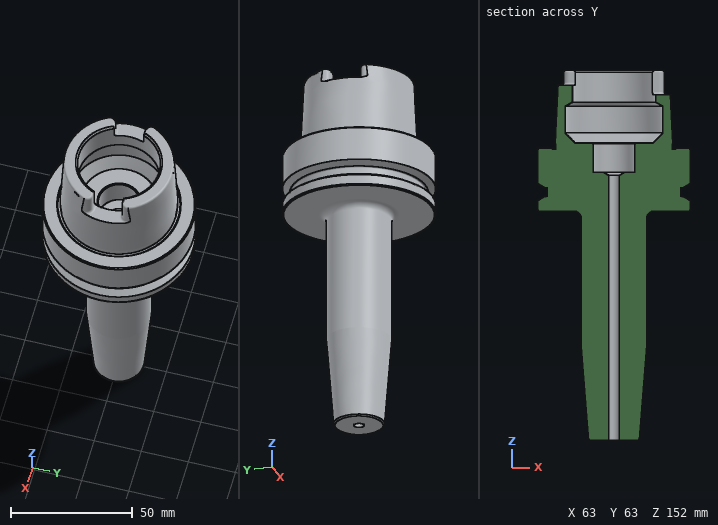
import cadquery as cq
import math


taper_height = 32.0
taper_ratio = 0.1
gauge_diameter = 48.01
gauge_height = 6.3
rim_fillet = 1.0
relief_diameter = 48.04
relief_height = 1.0
taper_foot_height = 2.2

recess_diameter = 51.0
recess_depth = 0.4

flange_diameter = 63.0
flange_thickness = 26.0
flange_chamfer = 0.5
groove_diameter = 55.0
groove_top = -14.6
groove_bottom = -21.5
groove_flank_angle = 30.0
groove_flank_width = 3.0
groove_root_fillet = 0.4

neck_diameter = 27.0
neck_fillet = 3.0
nose_diameter = 21.0
nose_half_angle = 4.5
nose_chamfer = 0.6
nose_end = -120.0

bore_diameter = 34.0
bore_mouth_chamfer = 0.8
bore_land_end = 18.8
cavity_diameter = 40.0
cavity_shoulder_angle = 30.0
floor_diameter = 31.8
bore_floor = 2.1
thread_diameter = 17.0
thread_chamfer = 0.4
thread_depth = 12.0
countersink_diameter = 8.4
countersink_angle = 118.0
through_diameter = 4.2

slot_width = 12.54
slot_corner_radius = 2.5
slot_floor_fillet = 1.2
shallow_slot_depth = 6.2
deep_slot_depth = 10.1

ARC_MIDDLE_INSET = 1 - math.sqrt(0.5)
LENGTH_TOLERANCE = 0.001


def taper_radius(height):
    """Radius of the taper at a height above the flange face."""
    return (gauge_diameter - taper_ratio * (height - gauge_height)) / 2


def revolve_profile(outline):
    """Turn a closed outline in the XZ plane around the Z axis."""
    return outline.close().revolve(360, (0, 0, 0), (0, 1, 0))


def outer_body():
    """Nose, neck, flange and taper as one turned solid, before boring and slotting."""
    flange_radius = flange_diameter / 2
    groove_radius = groove_diameter / 2
    recess_radius = recess_diameter / 2
    relief_radius = relief_diameter / 2
    neck_radius = neck_diameter / 2
    nose_radius = nose_diameter / 2
    flank_radius = flange_radius - groove_flank_width
    flank_height = groove_flank_width * math.tan(math.radians(groove_flank_angle))
    root_bottom = groove_bottom + flank_height
    root_top = groove_top - flank_height
    root_offset = groove_root_fillet * ARC_MIDDLE_INSET
    nose_slope = math.tan(math.radians(nose_half_angle))
    nose_start = nose_end + (neck_radius - nose_radius) / nose_slope
    chamfer_radius = nose_radius + nose_chamfer * nose_slope
    fillet_offset = neck_fillet * ARC_MIDDLE_INSET
    outline = (
        cq.Workplane("XZ")
        .moveTo(0, nose_end)
        .lineTo(nose_radius - nose_chamfer, nose_end)
        .lineTo(chamfer_radius, nose_end + nose_chamfer)
        .lineTo(neck_radius, nose_start)
        .lineTo(neck_radius, -flange_thickness - neck_fillet)
        .threePointArc(
            (neck_radius + fillet_offset, -flange_thickness - fillet_offset),
            (neck_radius + neck_fillet, -flange_thickness),
        )
        .lineTo(flange_radius - flange_chamfer, -flange_thickness)
        .lineTo(flange_radius, -flange_thickness + flange_chamfer)
        .lineTo(flange_radius, groove_bottom)
        .lineTo(flank_radius, root_bottom)
        .lineTo(groove_radius + groove_root_fillet, root_bottom)
        .threePointArc(
            (groove_radius + root_offset, root_bottom + root_offset),
            (groove_radius, root_bottom + groove_root_fillet),
        )
        .lineTo(groove_radius, root_top - groove_root_fillet)
        .threePointArc(
            (groove_radius + root_offset, root_top - root_offset),
            (groove_radius + groove_root_fillet, root_top),
        )
        .lineTo(flank_radius, root_top)
        .lineTo(flange_radius, groove_top)
        .lineTo(flange_radius, -flange_chamfer)
        .lineTo(flange_radius - flange_chamfer, 0)
        .lineTo(recess_radius, 0)
        .lineTo(recess_radius - recess_depth, -recess_depth)
        .lineTo(relief_radius, -recess_depth)
        .lineTo(relief_radius, relief_height)
        .lineTo(taper_radius(taper_foot_height), taper_foot_height)
        .lineTo(taper_radius(taper_height), taper_height)
        .lineTo(0, taper_height)
    )
    return revolve_profile(outline)


def bore():
    """Cutter for the stepped bore, open at both ends of the part."""
    bore_radius = bore_diameter / 2
    cavity_radius = cavity_diameter / 2
    floor_radius = floor_diameter / 2
    shoulder_height = (cavity_radius - bore_radius) * math.tan(math.radians(cavity_shoulder_angle))
    thread_radius = thread_diameter / 2
    countersink_radius = countersink_diameter / 2
    through_radius = through_diameter / 2
    countersink_slope = math.tan(math.radians(countersink_angle / 2))
    countersink_depth = (countersink_radius - through_radius) / countersink_slope
    thread_floor = bore_floor - thread_depth
    outline = (
        cq.Workplane("XZ")
        .moveTo(0, nose_end)
        .lineTo(through_radius, nose_end)
        .lineTo(through_radius, thread_floor - countersink_depth)
        .lineTo(countersink_radius, thread_floor)
        .lineTo(thread_radius, thread_floor)
        .lineTo(thread_radius, bore_floor - thread_chamfer)
        .lineTo(thread_radius + thread_chamfer, bore_floor)
        .lineTo(floor_radius, bore_floor)
        .lineTo(cavity_radius, bore_floor + cavity_radius - floor_radius)
        .lineTo(cavity_radius, bore_land_end - shoulder_height)
        .lineTo(bore_radius, bore_land_end)
        .lineTo(bore_radius, taper_height - bore_mouth_chamfer)
        .lineTo(bore_radius + bore_mouth_chamfer, taper_height)
        .lineTo(0, taper_height)
    )
    return revolve_profile(outline)


def drive_slot(direction, depth):
    """Cutter for one rim slot on the +X (1) or -X (-1) side, flared outside by rounded corners."""
    floor_height = taper_height - depth
    half_width = slot_width / 2
    corner_y = half_width + slot_corner_radius
    corner_x = math.sqrt((taper_radius(taper_height) - slot_corner_radius) ** 2 - corner_y**2)
    outer_x = corner_x + slot_corner_radius
    beyond_x = flange_diameter / 2
    bend = slot_corner_radius * (1 - ARC_MIDDLE_INSET)
    flare_y = bore_diameter / 2
    cutter = (
        cq.Workplane("XY", origin=(0, 0, floor_height))
        .moveTo(0, -half_width)
        .lineTo(corner_x, -half_width)
        .threePointArc((corner_x + bend, -corner_y + bend), (outer_x, -corner_y))
        .lineTo(outer_x, -flare_y)
        .lineTo(beyond_x, -flare_y)
        .lineTo(beyond_x, flare_y)
        .lineTo(outer_x, flare_y)
        .lineTo(outer_x, corner_y)
        .threePointArc((corner_x + bend, corner_y - bend), (corner_x, half_width))
        .lineTo(0, half_width)
        .close()
        .extrude(depth)
        .faces("<Z")
        .edges()
        .fillet(slot_floor_fillet)
    )
    if direction < 0:
        cutter = cutter.mirror("YZ")
    return cutter


def is_mouth_edge(edge):
    """Tell whether an edge belongs to the upper circle of the bore mouth chamfer."""
    mouth_radius = bore_diameter / 2 + bore_mouth_chamfer
    return edge.geomType() == "CIRCLE" and math.isclose(edge.radius(), mouth_radius, abs_tol=LENGTH_TOLERANCE)


def round_rim(body):
    """Round the outer and slot edges of the rim, leaving the chamfered bore mouth."""
    rim_edges = body.faces(">Z").edges()
    return rim_edges.filter(lambda edge: not is_mouth_edge(edge)).fillet(rim_fillet)


part = outer_body().cut(drive_slot(1, deep_slot_depth)).cut(drive_slot(-1, shallow_slot_depth))
part = part.cut(bore())
result = round_rim(part)